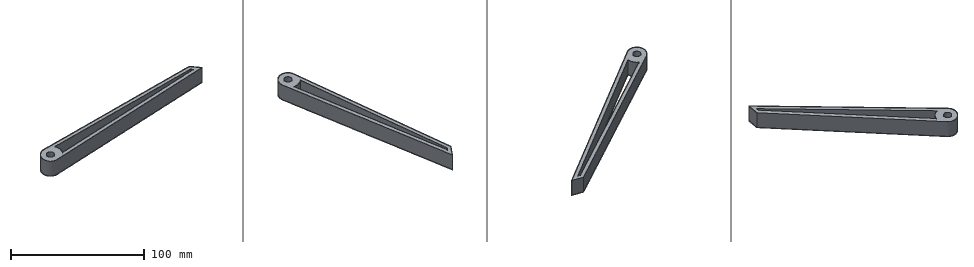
import cadquery as cq

length = 157.0
width = 15.0
height = 15.0
hub_radius = width / 2

tip_y = length - hub_radius
tip_drop = 6.1
tip_left_x = 0.0
wall = 3.0

hole_diameter = 6.0
hub_wall_radius = 9.4


def arm_corners():
    """The four corners of the tapered arm, starting at the hub's left side."""
    return [
        (-hub_radius, 0),
        (hub_radius, 0),
        (hub_radius, tip_y),
        (tip_left_x, tip_y - tip_drop),
    ]


def make_body():
    """Tapered arm with a slanted tip, closed by the half-round hub."""
    left_side, right_side, tip_right, tip_left = arm_corners()
    return (
        cq.Workplane("XY")
        .moveTo(*left_side)
        .threePointArc((0, -hub_radius), right_side)
        .lineTo(*tip_right)
        .lineTo(*tip_left)
        .close()
        .extrude(height)
    )


def make_window():
    """Through window that leaves an even wall along the arm and a round end at the hub."""
    window = cq.Workplane("XY").polyline(arm_corners()).close().offset2D(-wall).extrude(height)
    hub_end = cq.Workplane("XY").circle(hub_wall_radius).extrude(height)
    return window.cut(hub_end)


def make_hole():
    """Pivot hole through the hub."""
    return cq.Workplane("XY").circle(hole_diameter / 2).extrude(height)


result = make_body().cut(make_window()).cut(make_hole())